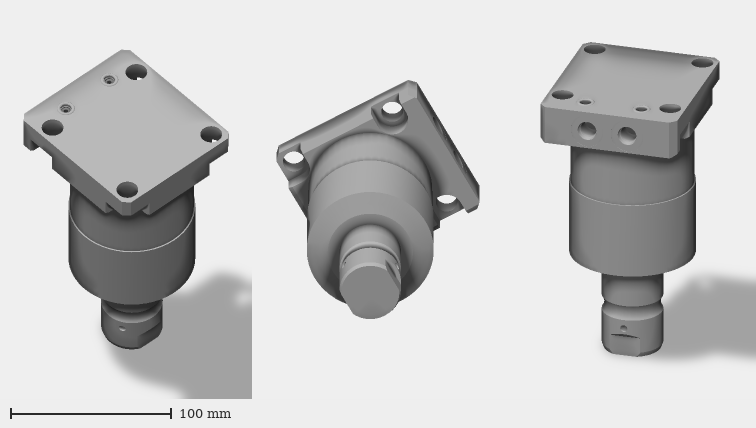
import cadquery as cq
import math


plate_length = 100.0
plate_width = 88.8
plate_thickness = 24.5
plate_left = -55.5
plate_right = plate_left + plate_length
plate_front = -plate_width / 2
corner_chamfer = 4.0
bottom_chamfer_run = 3.0
bottom_chamfer_rise = bottom_chamfer_run * math.tan(math.radians(30))

bolt_offset = 35.0
bolt_diameter = 13.5
pocket_diameter = 20.0
pocket_depth = 12.3

port_offset = 13.0
port_level = -12.8
port_diameter = 10.5
port_mouth_diameter = 12.3
port_taper_end_diameter = 11.2
port_taper_depth = 2.5
spotface_diameter = 21.0
spotface_depth = 0.2

seal_x = -41.4
port_depth = seal_x - plate_left
seal_offset = 18.1
seal_ring_radius = 4.5
seal_tube_radius = 1.19
seal_rise = 0.5
seal_recess_diameter = 7.0
seal_recess_depth = 1.5
seal_counterbore_diameter = 5.5
seal_counterbore_depth = 2.2
seal_drill_diameter = 2.7
seal_drill_depth = 14.1

overall_height = 183.2
upper_body_radius = 38.7
lower_body_radius = 39.5
body_step_depth = 68.9
body_end_depth = 117.5
nose_radius = 26.5
nose_depth = 121.6
rod_radius = 19.2
groove_top_depth = 147.5
groove_bottom_depth = 157.2
groove_radius = 17.5
rod_end_depth = overall_height - seal_rise
rod_chamfer_rise = 3.1
rod_chamfer_run = 1.1

flat_distance = 16.5
flat_top_depth = 169.6
flat_shoulder = rod_radius - flat_distance
cross_hole_diameter = 4.5
cross_hole_depth = 2.2
cross_hole_level = 163.0
cross_hole_count = 3


def pocket_cutter(side_x, side_y):
    """Pocket open to the +/-Y side; on the +X side it also opens through the end face."""
    center_x = side_x * bolt_offset
    center_y = side_y * bolt_offset
    reach = plate_width / 2 - bolt_offset + pocket_diameter
    floor = cq.Workplane("XY", origin=(center_x, center_y, -plate_thickness))
    cutter = floor.circle(pocket_diameter / 2).extrude(pocket_depth)
    outward = floor.center(0, side_y * reach / 2).rect(pocket_diameter, reach).extrude(pocket_depth)
    cutter = cutter.union(outward)
    if side_x > 0:
        corner_width = reach + pocket_diameter / 2
        corner = (
            floor.center(reach / 2, side_y * (corner_width / 2 - pocket_diameter / 2))
            .rect(reach, corner_width)
            .extrude(pocket_depth)
        )
        cutter = cutter.union(corner)
    return cutter


def make_plate():
    """Plate tapered at the lower +X, +Y and -Y edges, with mounting holes and pockets."""
    middle_x = (plate_left + plate_right) / 2
    plate = (
        cq.Workplane("XY", origin=(middle_x, 0, -plate_thickness))
        .rect(plate_length, plate_width)
        .extrude(plate_thickness)
        .edges("|Z")
        .chamfer(corner_chamfer)
    )
    taper_top = -plate_thickness + bottom_chamfer_rise
    across_width = (
        cq.Workplane("YZ", origin=(plate_left, 0, 0))
        .moveTo(plate_front, 0)
        .lineTo(plate_front, taper_top)
        .lineTo(plate_front + bottom_chamfer_run, -plate_thickness)
        .lineTo(-plate_front - bottom_chamfer_run, -plate_thickness)
        .lineTo(-plate_front, taper_top)
        .lineTo(-plate_front, 0)
        .close()
        .extrude(plate_length)
    )
    along_length = (
        cq.Workplane("XZ", origin=(0, -plate_front, 0))
        .moveTo(plate_left, 0)
        .lineTo(plate_left, -plate_thickness)
        .lineTo(plate_right - bottom_chamfer_run, -plate_thickness)
        .lineTo(plate_right, taper_top)
        .lineTo(plate_right, 0)
        .close()
        .extrude(plate_width)
    )
    plate = plate.intersect(across_width).intersect(along_length)
    for side_x in (-1, 1):
        for side_y in (-1, 1):
            plate = plate.cut(pocket_cutter(side_x, side_y))
    bolt_holes = (
        cq.Workplane("XY")
        .rect(2 * bolt_offset, 2 * bolt_offset, forConstruction=True)
        .vertices()
        .circle(bolt_diameter / 2)
        .extrude(-plate_thickness)
    )
    return plate.cut(bolt_holes)


def make_body():
    """Stepped cylinder, conical nose and grooved rod as one revolved profile."""
    groove_middle_depth = (groove_top_depth + groove_bottom_depth) / 2
    return (
        cq.Workplane("XZ")
        .moveTo(0, -plate_thickness)
        .lineTo(upper_body_radius, -plate_thickness)
        .lineTo(upper_body_radius, -body_step_depth)
        .lineTo(lower_body_radius, -body_step_depth)
        .lineTo(lower_body_radius, -body_end_depth)
        .lineTo(nose_radius, -nose_depth)
        .lineTo(rod_radius, -nose_depth)
        .lineTo(rod_radius, -groove_top_depth)
        .threePointArc((groove_radius, -groove_middle_depth), (rod_radius, -groove_bottom_depth))
        .lineTo(rod_radius, -rod_end_depth + rod_chamfer_rise)
        .lineTo(rod_radius - rod_chamfer_run, -rod_end_depth)
        .lineTo(0, -rod_end_depth)
        .close()
        .revolve(360, (0, 0, 0), (0, 1, 0))
    )


def flat_cutter(side):
    """Wrench flat on the +X or -X side of the rod, with a 45 degree shoulder above it."""
    return (
        cq.Workplane("XZ")
        .moveTo(side * flat_distance, -rod_end_depth)
        .lineTo(side * flat_distance, -flat_top_depth)
        .lineTo(side * rod_radius, -flat_top_depth + flat_shoulder)
        .lineTo(side * rod_radius, -rod_end_depth)
        .close()
        .extrude(rod_radius, both=True)
    )


def cross_hole(angle):
    """Blind radial hole with a 90 degree drill point, at the given angle about Z."""
    hole_radius = cross_hole_diameter / 2
    floor_x = rod_radius - cross_hole_depth
    return (
        cq.Workplane("XZ", origin=(0, 0, -cross_hole_level))
        .moveTo(floor_x - hole_radius, 0)
        .lineTo(floor_x, hole_radius)
        .lineTo(rod_radius, hole_radius)
        .lineTo(rod_radius, 0)
        .close()
        .revolve(360, (0, 0, 0), (1, 0, 0))
        .rotate((0, 0, 0), (0, 0, 1), angle)
    )


def side_port(y):
    """Blind port in the -X face: spotface, slightly tapered mouth, 45 degree shoulder and bore."""
    bore_radius = port_diameter / 2
    taper_end_radius = port_taper_end_diameter / 2
    mouth_radius = port_mouth_diameter / 2
    spotface_radius = spotface_diameter / 2
    shoulder_end = port_taper_depth + taper_end_radius - bore_radius
    return (
        cq.Workplane("XY", origin=(plate_left, y, port_level))
        .moveTo(0, 0)
        .lineTo(0, spotface_radius)
        .lineTo(spotface_depth, spotface_radius)
        .lineTo(spotface_depth, mouth_radius)
        .lineTo(port_taper_depth, taper_end_radius)
        .lineTo(shoulder_end, bore_radius)
        .lineTo(port_depth, bore_radius)
        .lineTo(port_depth, 0)
        .close()
        .revolve(360, (0, 0, 0), (1, 0, 0))
    )


def seal_ring(y):
    """Seal ring standing slightly proud of the plate top."""
    ring = cq.Solid.makeTorus(seal_ring_radius, seal_tube_radius)
    return cq.Workplane("XY").add(ring.translate(cq.Vector(seal_x, y, seal_rise - seal_tube_radius)))


def seal_port(y):
    """Stepped recess inside the seal ring, with a drilling down into the side port."""
    top = cq.Workplane("XY", origin=(seal_x, y, seal_rise))
    recess = top.circle(seal_recess_diameter / 2).extrude(-seal_rise - seal_recess_depth)
    counterbore = top.circle(seal_counterbore_diameter / 2).extrude(-seal_rise - seal_counterbore_depth)
    drill = top.circle(seal_drill_diameter / 2).extrude(-seal_rise - seal_drill_depth)
    return recess.union(counterbore).union(drill)


result = make_plate().union(make_body())

for side in (-1, 1):
    result = result.cut(flat_cutter(side))
    result = result.cut(side_port(side * port_offset))
    result = result.union(seal_ring(side * seal_offset))
    result = result.cut(seal_port(side * seal_offset))

for index in range(cross_hole_count):
    result = result.cut(cross_hole(180 + index * 360 / cross_hole_count))